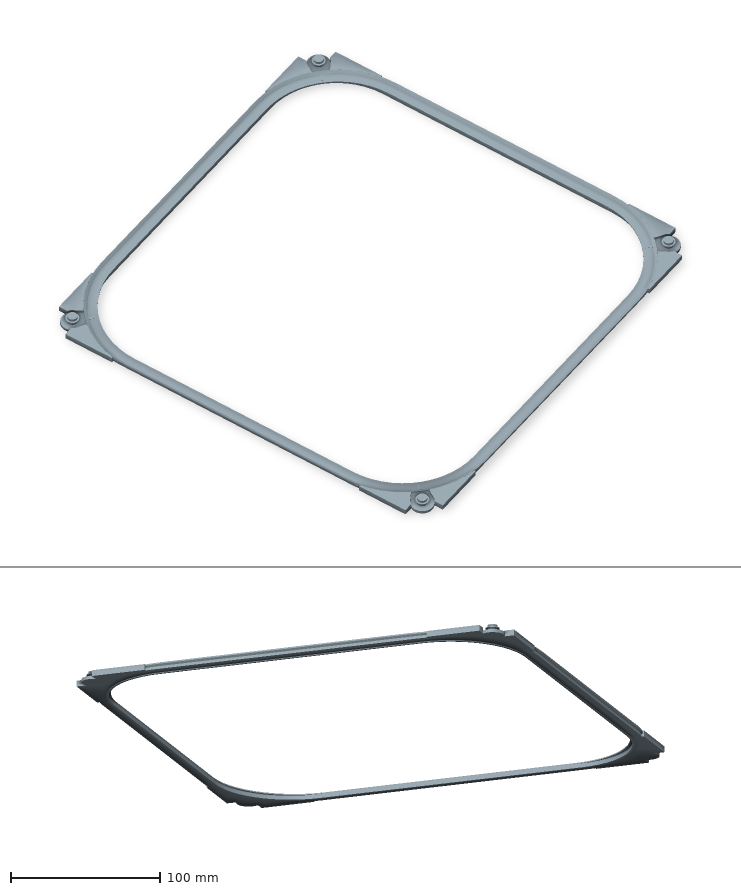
import cadquery as cq
import math

half_width = 157.0
opening_half = 147.5
gasket_arc_centre = 89.0
frame_arc_centre = 94.0
corner_angles = [45, 135, 225, 315]

frame_inner_half = 150.5
frame_outer_half = 155.5
frame_bottom = 1.0
frame_top = 2.8
wing_top = 5.0
wing_start = 101.0
notch_edge = 139.0

lip_top = 5.0
lip_tip_bottom = 4.0
steep_width = 1.3
steep_rise = 0.8
gentle_width = 1.3
gentle_rise = 0.65
lip_bend_half = half_width - steep_width
lip_bend_height = lip_top - steep_rise
lip_foot_half = lip_bend_half - gentle_width
band_top = lip_bend_height - gentle_rise

peg_centre = 143.0
pad_radius = 8.2
pad_top = 3.0
pad_tail_length = 14.0
pad_tail_half_width = 5.0
peg_radius = 3.5
peg_top = 8.2
collar_radius = 4.7
collar_bottom = 5.5
collar_top = 6.3
nub_tip = 131.8
nub_width = 2.0
nub_length = 5.0
nub_top = 3.8

foot_half = 149.0
foot_neck_half = 148.5


def rounded_square_block(half, arc_centre, bottom, top):
    """Solid block whose outline is a square with corner arcs about the given centres."""
    return (
        cq.Workplane("XY", origin=(0, 0, bottom))
        .rect(2 * half, 2 * half)
        .extrude(top - bottom)
        .edges("|Z")
        .fillet(half - arc_centre)
    )


def ring(profile, arc_centre):
    """Ring with the given section, listed as (distance from centre, height) points."""
    section = cq.Workplane("XZ", origin=(0, -arc_centre, 0)).polyline(profile).close()
    radius = opening_half - arc_centre
    path = (
        cq.Workplane("XY")
        .moveTo(opening_half, -arc_centre)
        .lineTo(opening_half, arc_centre)
        .radiusArc((arc_centre, opening_half), -radius)
        .lineTo(-arc_centre, opening_half)
        .radiusArc((-opening_half, arc_centre), -radius)
        .lineTo(-opening_half, -arc_centre)
        .radiusArc((-arc_centre, -opening_half), -radius)
        .lineTo(arc_centre, -opening_half)
        .radiusArc((opening_half, -arc_centre), -radius)
        .close()
    )
    return section.sweep(path)


def on_diagonal(axis_distance, angle, height):
    """Workplane on a corner diagonal, with its local X pointing away from the middle."""
    distance = axis_distance * math.sqrt(2)
    direction = (math.cos(math.radians(angle)), math.sin(math.radians(angle)), 0)
    origin = (distance * direction[0], distance * direction[1], height)
    return cq.Workplane(cq.Plane(origin=origin, xDir=direction))


def disc(radius, angle, bottom, top):
    """Upright cylinder on the peg axis of one corner."""
    x = math.copysign(peg_centre, math.cos(math.radians(angle)))
    y = math.copysign(peg_centre, math.sin(math.radians(angle)))
    return cq.Workplane("XY", origin=(x, y, bottom)).circle(radius).extrude(top - bottom)


def pad_block(angle, bottom, top):
    """Round pad with a tail that narrows towards the middle."""
    tail = (
        on_diagonal(peg_centre, angle, bottom)
        .polyline([
            (0, pad_radius),
            (-pad_tail_length, pad_tail_half_width),
            (-pad_tail_length, -pad_tail_half_width),
            (0, -pad_radius),
        ])
        .close()
        .extrude(top - bottom)
    )
    frame_space = rounded_square_block(frame_outer_half, frame_arc_centre, 0, frame_top)
    return disc(pad_radius, angle, bottom, top).union(tail).cut(frame_space)


def peg(angle):
    """Post with a collar, standing on a pad."""
    post = disc(peg_radius, angle, frame_bottom, peg_top)
    collar = disc(collar_radius, angle, collar_bottom, collar_top)
    return post.union(collar)


def nub(angle):
    """Small rib on the band, pointing to the middle."""
    return (
        on_diagonal(nub_tip, angle, frame_top)
        .center(nub_length / 2, 0)
        .rect(nub_length, nub_width)
        .extrude(nub_top - frame_top)
    )


def make_gasket():
    lip_undercut = lip_tip_bottom - frame_top
    gasket = ring(
        [
            (opening_half, frame_top),
            (half_width - lip_undercut, frame_top),
            (half_width, lip_tip_bottom),
            (half_width, lip_top),
            (lip_bend_half, lip_bend_height),
            (lip_foot_half, band_top),
            (opening_half, band_top),
        ],
        gasket_arc_centre,
    )
    for angle in corner_angles:
        gasket = gasket.union(pad_block(angle, frame_bottom, pad_top))
        gasket = gasket.union(peg(angle))
        gasket = gasket.union(nub(angle))
    return gasket


def make_wings():
    """Plates that fill the corners between the gasket and the outer square."""
    width = 2 * half_width
    height = wing_top - frame_bottom
    plate = cq.Workplane("XY", origin=(0, 0, frame_bottom))
    wings = plate.rect(width, width).extrude(height)
    wings = wings.cut(plate.rect(2 * wing_start, width).extrude(height))
    wings = wings.cut(plate.rect(width, 2 * wing_start).extrude(height))
    notch = half_width - notch_edge
    notch_spacing = half_width + notch_edge
    notches = (
        plate.rect(notch_spacing, notch_spacing, forConstruction=True)
        .vertices()
        .rect(notch, notch)
        .extrude(height)
    )
    wings = wings.cut(notches)
    wings = wings.cut(rounded_square_block(frame_inner_half, frame_arc_centre, 0, wing_top))
    return wings.cut(rounded_square_block(half_width, gasket_arc_centre, frame_top, wing_top))


def make_frame():
    frame = ring(
        [
            (frame_inner_half, frame_bottom),
            (frame_outer_half, frame_bottom),
            (frame_outer_half, frame_top),
            (frame_inner_half, frame_top),
        ],
        frame_arc_centre,
    )
    frame = frame.union(make_wings())
    for angle in corner_angles:
        frame = frame.cut(pad_block(angle, frame_bottom, wing_top))
    return frame


def make_base_ring():
    return ring(
        [
            (opening_half, 0),
            (foot_half, 0),
            (foot_neck_half, frame_bottom),
            (frame_inner_half, frame_bottom),
            (frame_inner_half, frame_top),
            (opening_half, frame_top),
        ],
        frame_arc_centre,
    )


frame = make_frame().solids()
gasket = make_gasket().solids()
base = make_base_ring().solids()
result = cq.Compound.makeCompound([frame.val(), gasket.val(), base.val()])